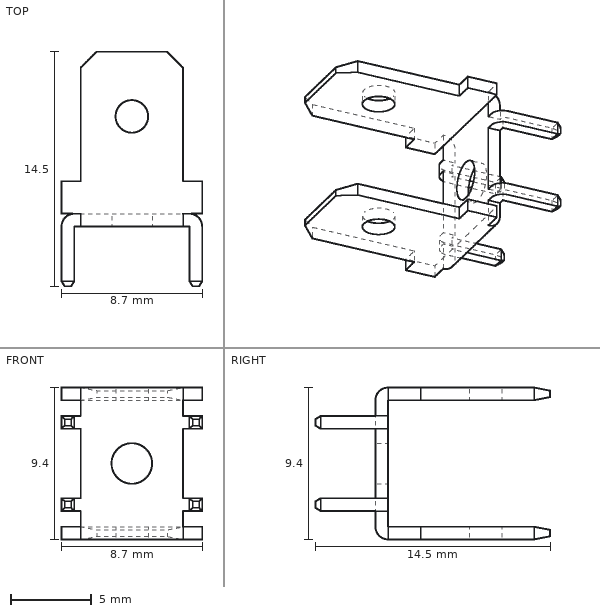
import cadquery as cq

thickness = 0.8
overall_width = 8.7
overall_length = 14.5
overall_height = 9.4

tab_width = 6.34
tab_length = 10.0
tab_tip_width = 4.35
tab_tip_thickness = 0.4
tab_taper = 1.0
shoulder_length = 2.0
tab_hole_diameter = 2.0
tab_hole_setback = 4.0

web_hole_diameter = 2.5

pin_row_spacing = 5.08
pin_tip_taper = 0.32
pin_tip_size = 0.4

tip_y = overall_length / 2
web_back_y = tip_y - tab_length
web_front_y = web_back_y - thickness
pin_end_y = -overall_length / 2
tab_center_z = (overall_height - thickness) / 2


def make_tab(center_z):
    """Shouldered tab with a tapered tip and a locating hole."""
    half_width = tab_width / 2
    half_shoulder = overall_width / 2
    half_tip = tab_tip_width / 2
    shoulder_y = web_back_y + shoulder_length
    taper_y = tip_y - tab_taper
    outline = (
        cq.Workplane("XY")
        .workplane(offset=center_z - thickness / 2)
        .polyline([
            (-half_shoulder, web_back_y),
            (half_shoulder, web_back_y),
            (half_shoulder, shoulder_y),
            (half_width, shoulder_y),
            (half_width, taper_y),
            (half_tip, tip_y),
            (-half_tip, tip_y),
            (-half_width, taper_y),
            (-half_width, shoulder_y),
            (-half_shoulder, shoulder_y),
        ])
        .close()
        .extrude(thickness)
    )
    side_profile = (
        cq.Workplane("YZ")
        .polyline([
            (web_back_y, center_z - thickness / 2),
            (taper_y, center_z - thickness / 2),
            (tip_y, center_z - tab_tip_thickness / 2),
            (tip_y, center_z + tab_tip_thickness / 2),
            (taper_y, center_z + thickness / 2),
            (web_back_y, center_z + thickness / 2),
        ])
        .close()
        .extrude(half_shoulder, both=True)
    )
    hole = (
        cq.Workplane("XY")
        .center(0, tip_y - tab_hole_setback)
        .circle(tab_hole_diameter / 2)
        .extrude(overall_height, both=True)
    )
    return outline.intersect(side_profile).cut(hole)


def make_web():
    """Upright plate with rounded outer bends and a central hole."""
    half_height = overall_height / 2
    plate = (
        cq.Workplane("YZ")
        .moveTo(web_back_y, -half_height)
        .radiusArc((web_front_y, -half_height + thickness), thickness)
        .lineTo(web_front_y, half_height - thickness)
        .radiusArc((web_back_y, half_height), thickness)
        .close()
        .extrude(tab_width / 2, both=True)
    )
    hole = (
        cq.Workplane("XZ")
        .circle(web_hole_diameter / 2)
        .extrude(overall_length, both=True)
    )
    return plate.cut(hole)


def make_pin(side, center_z):
    """Arm leaving the web sideways, bent forward into a pointed pin."""
    outer_x = side * overall_width / 2
    inner_x = outer_x - side * thickness
    root_x = side * tab_width / 2
    taper_y = pin_end_y + pin_tip_taper
    shank = (
        cq.Workplane("XY")
        .workplane(offset=center_z - thickness / 2)
        .moveTo(root_x, web_back_y)
        .lineTo(inner_x, web_back_y)
        .radiusArc((outer_x, web_front_y), side * thickness)
        .lineTo(outer_x, taper_y)
        .lineTo(inner_x, taper_y)
        .lineTo(inner_x, web_front_y)
        .lineTo(root_x, web_front_y)
        .close()
        .extrude(thickness)
    )
    point = (
        cq.Workplane("XZ", origin=((outer_x + inner_x) / 2, taper_y, center_z))
        .rect(thickness, thickness)
        .workplane(offset=pin_tip_taper)
        .rect(pin_tip_size, pin_tip_size)
        .loft(ruled=True)
    )
    return shank.union(point)


result = make_web()
for level in (-1, 1):
    result = result.union(make_tab(level * tab_center_z))
    for side in (-1, 1):
        result = result.union(make_pin(side, level * pin_row_spacing / 2))